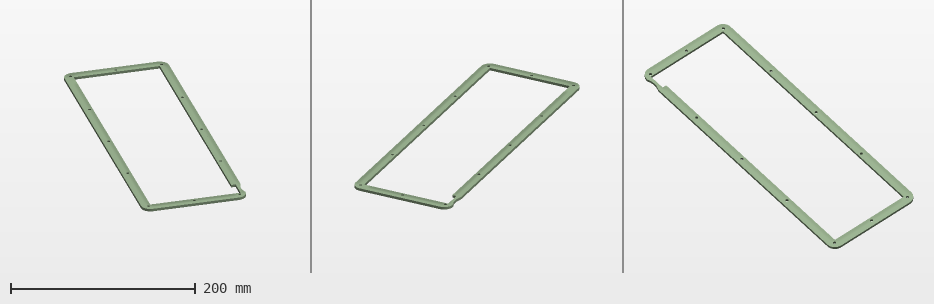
import cadquery as cq

length = 327.0
width = 117.5
thickness = 3.0
rail_width = 10.5
corner_radius = 10.5

hole_diameter = 3.3
edge_hole_inset = 6.5
corner_hole_inset = 7.5
long_rail_hole_pitch = 76.5

dip_half_length = 10.0
dip_depth = 2.12
dip_shoulder_radius = 5.0
notch_length = 20.0
notch_depth = 5.0

half_length = length / 2
half_width = width / 2
opening_length = length - 2 * rail_width
opening_width = width - 2 * rail_width


def make_frame():
    """Flat rectangular frame with rounded outer corners and a sharp opening."""
    plate = cq.Workplane("XY").box(length, width, thickness, centered=(True, True, False))
    plate = plate.edges("|Z").fillet(corner_radius)
    opening = cq.Workplane("XY").rect(opening_length, opening_width).extrude(thickness)
    return plate.cut(opening)


def make_dip():
    """Shallow hollow in the back edge with tangent rounded shoulders, ending at the corner round."""
    right = half_length - corner_radius
    middle = right - dip_half_length
    left = middle - dip_half_length
    bottom = half_width - dip_depth
    radius_sum = (dip_half_length**2 + dip_depth**2) / (2 * dip_depth)
    shoulder_share = dip_shoulder_radius / radius_sum
    shoulder_run = dip_half_length * shoulder_share
    shoulder_y = half_width - dip_depth * shoulder_share
    return (
        cq.Workplane("XY")
        .moveTo(left, half_width)
        .radiusArc((left + shoulder_run, shoulder_y), dip_shoulder_radius)
        .threePointArc((middle, bottom), (right - shoulder_run, shoulder_y))
        .radiusArc((right, half_width), dip_shoulder_radius)
        .close()
        .extrude(thickness)
    )


def make_notch():
    """Step in the inner side of the back rail, flush with the end of the opening."""
    return (
        cq.Workplane("XY")
        .center(opening_length / 2 - notch_length / 2, opening_width / 2)
        .rect(notch_length, 2 * notch_depth)
        .extrude(thickness)
    )


def make_holes():
    """Through holes at the corners, along the long rails and halfway up the short rails."""
    corner_x = half_length - corner_hole_inset
    corner_y = half_width - corner_hole_inset
    edge_x = half_length - edge_hole_inset
    edge_y = half_width - edge_hole_inset
    points = []
    for side in (-1, 1):
        points.append((side * edge_x, 0))
        for end in (-1, 1):
            points.append((end * corner_x, side * corner_y))
        for step in (-1, 0, 1):
            points.append((step * long_rail_hole_pitch, side * edge_y))
    return cq.Workplane("XY").pushPoints(points).circle(hole_diameter / 2).extrude(thickness)


result = make_frame().cut(make_dip()).cut(make_notch()).cut(make_holes())